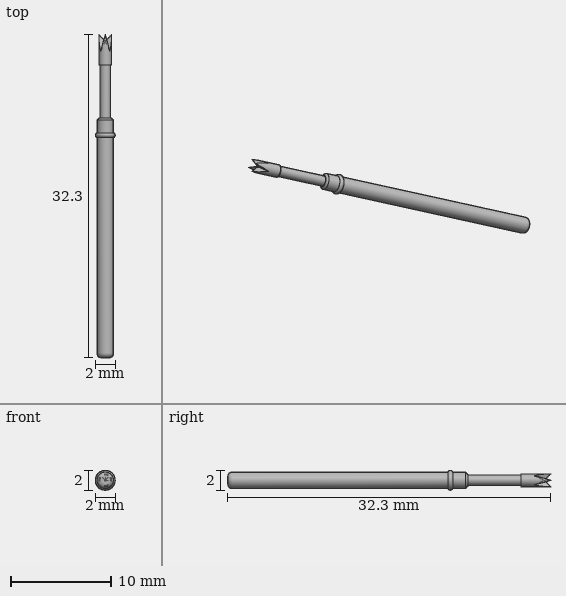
import cadquery as cq
import math

total_length = 32.3

barrel_diameter = 1.65
barrel_radius = barrel_diameter / 2
barrel_length = 24.0
barrel_end_flat_radius = 0.4
barrel_end_round = barrel_radius - barrel_end_flat_radius
barrel_mouth_chamfer = 0.23

collar_radius = 1.0
collar_bead_radius = 0.25
collar_y = 22.25

neck_diameter = 1.05
neck_radius = neck_diameter / 2
head_radius = 0.65
head_length = 3.0

tooth_count = 4
crown_centre_depth = 0.65
notch_rim_depth = 1.65
cutter_clearance = 0.32
cutter_reach = head_radius + cutter_clearance


def cylinder(radius, start_y, length):
    return cq.Workplane("XZ", origin=(0, start_y, 0)).circle(radius).extrude(-length)


def make_barrel():
    barrel = cylinder(barrel_radius, 0, barrel_length)
    barrel = barrel.faces("<Y").edges().fillet(barrel_end_round)
    return barrel.faces(">Y").edges().chamfer(barrel_mouth_chamfer)


def make_collar():
    bead_centre_radius = collar_radius - collar_bead_radius
    bead = cq.Workplane("XY").center(bead_centre_radius, collar_y).circle(collar_bead_radius)
    return bead.revolve(360, (-bead_centre_radius, 0, 0), (-bead_centre_radius, 1, 0))


def make_notch_cutter():
    """V wedge lying along +X whose floor drops from the crown centre to the rim."""
    floor_slope = (notch_rim_depth - crown_centre_depth) / head_radius
    half_tooth_angle = math.pi / tooth_count
    ridge_x = head_radius * math.cos(half_tooth_angle)
    ridge_z = head_radius * math.sin(half_tooth_angle)
    side_slope = (crown_centre_depth + floor_slope * ridge_x) / ridge_z
    top_y = total_length + cutter_clearance

    def section(x):
        floor_depth = crown_centre_depth + floor_slope * x
        half_width = (floor_depth + cutter_clearance) / side_slope
        corners = [
            cq.Vector(x, total_length - floor_depth, 0),
            cq.Vector(x, top_y, half_width),
            cq.Vector(x, top_y, -half_width),
        ]
        return cq.Wire.makePolygon(corners, close=True)

    return cq.Workplane(cq.Solid.makeLoft([section(0), section(cutter_reach)], True))


def make_head():
    head = cylinder(head_radius, total_length - head_length, head_length)
    cutter = make_notch_cutter()
    tooth_pitch = 360 / tooth_count
    for index in range(tooth_count):
        angle = (index + 0.5) * tooth_pitch
        head = head.cut(cutter.rotate((0, 0, 0), (0, 1, 0), angle))
    return head


neck_length = total_length - head_length - barrel_length
neck = cylinder(neck_radius, barrel_length, neck_length)

result = make_barrel().union(make_collar()).union(neck).union(make_head())